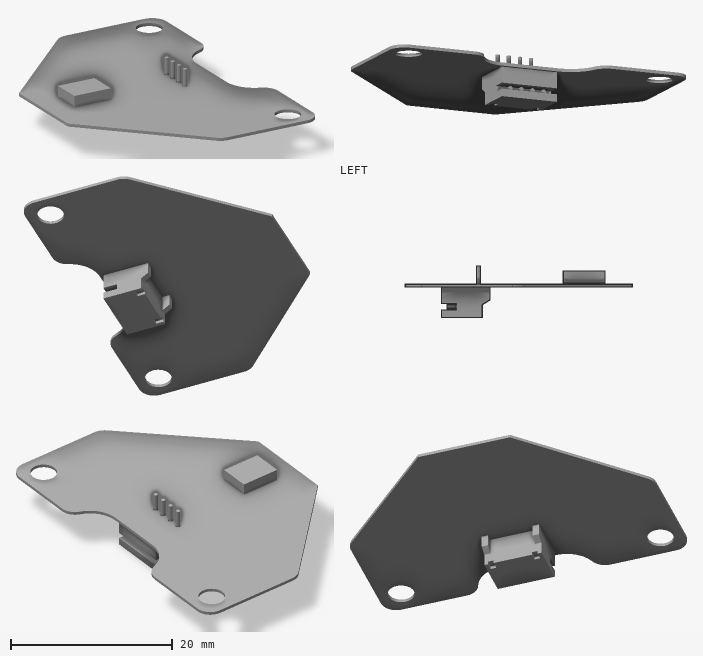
import cadquery as cq
import math

BOARD_WIDTH = 40.0
BOARD_DEPTH = 28.1
BOARD_THICKNESS = 0.4
FRONT_EDGE_WIDTH = 12.0
SIDE_START_Y = (BOARD_WIDTH - FRONT_EDGE_WIDTH) / 2
CORNER_RADIUS = 2.0

NOTCH_DEPTH = 4.0
NOTCH_FLOOR_WIDTH = 7.45
NOTCH_FLOOR_RADIUS = 4.0

MOUNT_HOLE_DIAMETER = 3.3
MOUNT_HOLE_INSET = 3.0

PIN_COUNT = 4
PIN_ROW_LENGTH = 4.5
PIN_PITCH = PIN_ROW_LENGTH / (PIN_COUNT - 1)
PIN_DIAMETER = 0.5
PIN_HOLE_DIAMETER = 0.7
PIN_ROW_Y = 19.05
PIN_RISE = 2.25
CONTACT_GAP = 0.7

CONNECTOR_X = -0.1
CONNECTOR_WIDTH = 7.5
CONNECTOR_HEIGHT = 3.75
CONNECTOR_FRONT_Y = 18.55
CONNECTOR_REAR_Y = 23.65
LUG_WIDTH = 0.8
LUG_REACH = 0.95
LUG_OUTER_HEIGHT = 1.55
LUG_INNER_HEIGHT = 2.15
SLOT_TOP_DROP = 2.05
SLOT_HEIGHT = 0.75
SLOT_DEPTH = 1.85
RECESS_SPACING = 5.75
RECESS_WIDTH = 0.75
RECESS_HEIGHT = 0.4
RECESS_DEPTH = 1.0

CHIP_X = -0.1
CHIP_Y = 5.95
CHIP_WIDTH = 4.0
CHIP_DEPTH = 5.2
CHIP_HEIGHT = 1.5
CHIP_STANDOFF = 0.1

pin_positions = [CONNECTOR_X + (i - (PIN_COUNT - 1) / 2) * PIN_PITCH for i in range(PIN_COUNT)]


def box_between(x_center, width, y_min, y_max, z_min, z_max):
    """Box centred on x_center that spans the given Y and Z ranges."""
    box = cq.Workplane("XY").box(width, y_max - y_min, z_max - z_min)
    return box.translate((x_center, (y_min + y_max) / 2, (z_min + z_max) / 2))


def notch_cutter():
    """Notch with S-shaped sides, each arc pair tangent to the rear edge and the notch floor."""
    sweep = math.acos(1 - NOTCH_DEPTH / (CORNER_RADIUS + NOTCH_FLOOR_RADIUS))
    floor_x = NOTCH_FLOOR_WIDTH / 2
    floor_y = BOARD_DEPTH - NOTCH_DEPTH
    mouth_x = floor_x + (CORNER_RADIUS + NOTCH_FLOOR_RADIUS) * math.sin(sweep)

    def lip_point(angle):
        return (mouth_x - CORNER_RADIUS * math.sin(angle),
                BOARD_DEPTH - CORNER_RADIUS * (1 - math.cos(angle)))

    def floor_point(angle):
        return (floor_x + NOTCH_FLOOR_RADIUS * math.sin(angle),
                floor_y + NOTCH_FLOOR_RADIUS * (1 - math.cos(angle)))

    half = (
        cq.Workplane("XY")
        .moveTo(0, BOARD_DEPTH)
        .lineTo(mouth_x, BOARD_DEPTH)
        .threePointArc(lip_point(sweep / 2), lip_point(sweep))
        .threePointArc(floor_point(sweep / 2), (floor_x, floor_y))
        .lineTo(0, floor_y)
        .close()
        .extrude(BOARD_THICKNESS)
    )
    return half.union(half.mirror("YZ"))


def make_board():
    half_width = BOARD_WIDTH / 2
    half_front = FRONT_EDGE_WIDTH / 2
    plate = (
        cq.Workplane("XY")
        .polyline([
            (-half_front, 0),
            (half_front, 0),
            (half_width, SIDE_START_Y),
            (half_width, BOARD_DEPTH),
            (-half_width, BOARD_DEPTH),
            (-half_width, SIDE_START_Y),
        ])
        .close()
        .extrude(BOARD_THICKNESS)
    )
    plate = plate.edges("|Z and (<X or >X)").fillet(CORNER_RADIUS)
    plate = plate.cut(notch_cutter())

    mount_x = half_width - MOUNT_HOLE_INSET
    mount_y = BOARD_DEPTH - MOUNT_HOLE_INSET
    mount_holes = (
        cq.Workplane("XY")
        .pushPoints([(-mount_x, mount_y), (mount_x, mount_y)])
        .circle(MOUNT_HOLE_DIAMETER / 2)
        .extrude(BOARD_THICKNESS)
    )
    pin_holes = (
        cq.Workplane("XY")
        .pushPoints([(x, PIN_ROW_Y) for x in pin_positions])
        .circle(PIN_HOLE_DIAMETER / 2)
        .extrude(BOARD_THICKNESS)
    )
    return plate.cut(mount_holes).cut(pin_holes)


def make_lug(x_center):
    """Lug on the front face of the housing, with a sloped underside."""
    outer_y = CONNECTOR_FRONT_Y - LUG_REACH
    return (
        cq.Workplane("YZ", origin=(x_center - LUG_WIDTH / 2, 0, 0))
        .polyline([
            (CONNECTOR_FRONT_Y, 0),
            (outer_y, 0),
            (outer_y, -LUG_OUTER_HEIGHT),
            (CONNECTOR_FRONT_Y, -LUG_INNER_HEIGHT),
        ])
        .close()
        .extrude(LUG_WIDTH)
    )


def make_connector():
    housing = box_between(
        CONNECTOR_X, CONNECTOR_WIDTH, CONNECTOR_FRONT_Y, CONNECTOR_REAR_Y, -CONNECTOR_HEIGHT, 0
    )
    slot_floor_y = CONNECTOR_REAR_Y - SLOT_DEPTH
    slot_bottom = -SLOT_TOP_DROP - SLOT_HEIGHT
    housing = housing.cut(box_between(
        CONNECTOR_X, CONNECTOR_WIDTH, slot_floor_y, CONNECTOR_REAR_Y, slot_bottom, -SLOT_TOP_DROP
    ))

    for side in (-1, 1):
        lug_x = CONNECTOR_X + side * (CONNECTOR_WIDTH - LUG_WIDTH) / 2
        housing = housing.union(make_lug(lug_x))
        housing = housing.cut(box_between(
            CONNECTOR_X + side * RECESS_SPACING / 2,
            RECESS_WIDTH,
            CONNECTOR_FRONT_Y,
            CONNECTOR_FRONT_Y + RECESS_DEPTH,
            -CONNECTOR_HEIGHT,
            -CONNECTOR_HEIGHT + RECESS_HEIGHT,
        ))

    contact_z = -SLOT_TOP_DROP - SLOT_HEIGHT / 2
    contact_length = SLOT_DEPTH - CONTACT_GAP
    for x in pin_positions:
        post = (
            cq.Workplane("XY")
            .center(x, PIN_ROW_Y)
            .circle(PIN_DIAMETER / 2)
            .extrude(BOARD_THICKNESS + PIN_RISE)
        )
        contact = (
            cq.Workplane("XZ", origin=(x, slot_floor_y, contact_z))
            .circle(PIN_DIAMETER / 2)
            .extrude(-contact_length)
        )
        housing = housing.union(post).union(contact)
    return housing


def make_chip():
    bottom = BOARD_THICKNESS + CHIP_STANDOFF
    return box_between(
        CHIP_X,
        CHIP_WIDTH,
        CHIP_Y - CHIP_DEPTH / 2,
        CHIP_Y + CHIP_DEPTH / 2,
        bottom,
        bottom + CHIP_HEIGHT,
    )


board = make_board()
connector = make_connector()
chip = make_chip()

result = cq.Compound.makeCompound([board.val(), connector.val(), chip.val()])